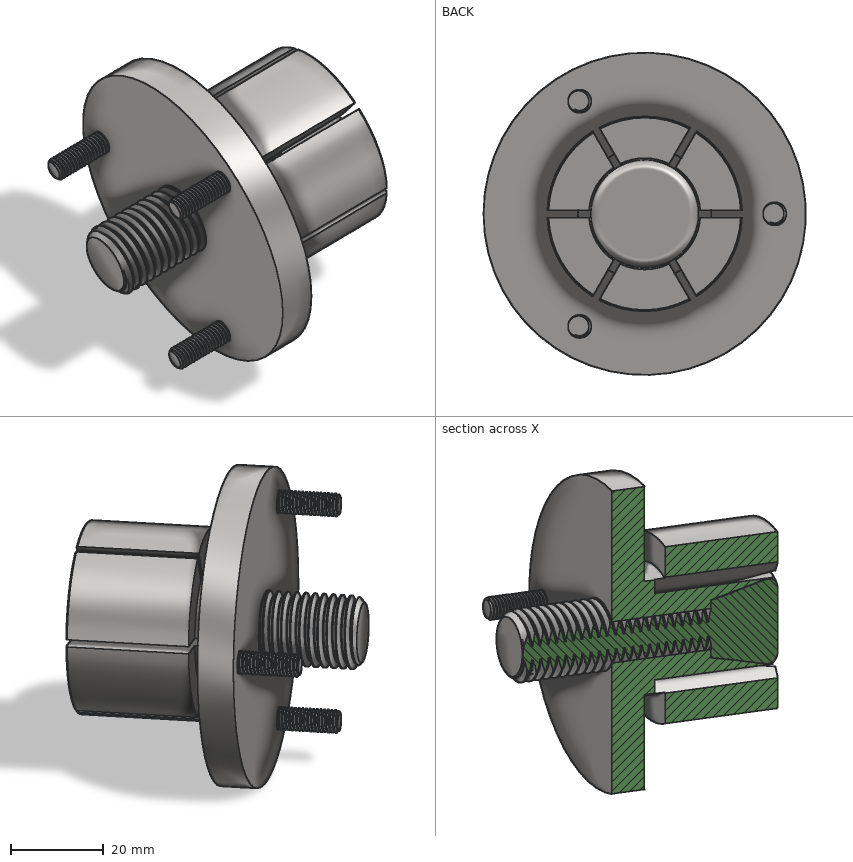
import cadquery as cq
import math


flange_diameter = 69.47
flange_thickness = 7.9
collar_diameter = 28.75
collar_length = 4.8
jaw_diameter = 42.0
jaw_length = 27.0
jaw_end_chamfer = 0.3
slot_count = 6
slot_width = 1.6
slot_depth_in_collar = 2.4

collar_end = flange_thickness + collar_length
jaw_end = collar_end + jaw_length
slot_start = collar_end - slot_depth_in_collar

centre_diameter = 16.0
centre_pitch = 2.0
centre_thread_length = 45.0
centre_tip_chamfer = 1.5
centre_thread_start = 54.0
head_diameter = 24.0
head_taper = 10.0
head_height = 16.0
head_fillet = 2.0
head_seat = jaw_end - head_height

mount_diameter = 5.0
mount_pitch = 0.8
mount_projection = 13.3
mount_tip_chamfer = 0.5
mount_thread_start = 0.0
mount_count = 3
mount_circle_radius = 28.0
mount_first_angle = 60.0

thread_depth_ratio = 0.6134
crest_width_ratio = 1 / 8
ridge_base_ratio = 7 / 8
ridge_embed_ratio = 0.05


def cylinder(diameter, y_start, y_end):
    """Solid cylinder on the Y axis."""
    return (
        cq.Workplane("XZ", origin=(0, y_end, 0))
        .circle(diameter / 2)
        .extrude(y_end - y_start)
    )


def taper_plug():
    """Cone that fills the bore of the jaws, widest at their ends."""
    return (
        cq.Workplane("XZ", origin=(0, jaw_end, 0))
        .circle(head_diameter / 2)
        .extrude(head_height, taper=head_taper)
    )


def threaded_rod(diameter, pitch, length, tip_chamfer, start_angle):
    """Right-hand threaded rod from Y = 0 to Y = -length, chamfered at its tip."""
    crest_radius = diameter / 2
    depth = thread_depth_ratio * pitch
    core_radius = crest_radius - depth

    embed = ridge_embed_ratio * pitch
    flank_slope = (ridge_base_ratio - crest_width_ratio) * pitch / 2 / depth
    half_crest = crest_width_ratio * pitch / 2
    half_base = ridge_base_ratio * pitch / 2 + embed * flank_slope
    base_radius = core_radius - embed

    ridge_overrun = pitch
    core_overrun = 2 * pitch
    helix = cq.Workplane(cq.Wire.makeHelix(pitch, length + 2 * ridge_overrun, base_radius))
    ridge = (
        cq.Workplane("XZ")
        .moveTo(base_radius, -half_base)
        .lineTo(crest_radius, -half_crest)
        .lineTo(crest_radius, half_crest)
        .lineTo(base_radius, half_base)
        .close()
        .sweep(helix, isFrenet=True)
        .translate((0, 0, -ridge_overrun))
        .rotate((0, 0, 0), (0, 0, 1), start_angle)
    )
    core = (
        cq.Workplane("XY", origin=(0, 0, -core_overrun))
        .circle(core_radius)
        .extrude(length + 2 * core_overrun)
    )

    clearance = pitch
    trim = (
        cq.Workplane("XZ")
        .lineTo(crest_radius + clearance, 0)
        .lineTo(crest_radius + clearance, length - tip_chamfer - clearance)
        .lineTo(crest_radius - tip_chamfer, length)
        .lineTo(0, length)
        .close()
        .revolve(360, (0, 0, 0), (0, 1, 0))
    )
    return core.union(ridge).intersect(trim).rotate((0, 0, 0), (1, 0, 0), 90)


def mounting_points():
    """Screw centres (x, z) evenly spaced around the flange."""
    angles = [mount_first_angle + i * 360 / mount_count for i in range(mount_count)]
    return [
        (
            mount_circle_radius * math.cos(math.radians(angle)),
            mount_circle_radius * math.sin(math.radians(angle)),
        )
        for angle in angles
    ]


def make_housing():
    jaws = cylinder(jaw_diameter, collar_end, jaw_end).faces(">Y").edges().chamfer(jaw_end_chamfer)
    body = (
        cylinder(flange_diameter, 0, flange_thickness)
        .union(cylinder(collar_diameter, flange_thickness, collar_end))
        .union(jaws)
        .cut(cylinder(centre_diameter, 0, jaw_end))
        .cut(taper_plug())
    )
    slot_length = jaw_end - slot_start
    slot = cq.Workplane("XY").box(jaw_diameter, slot_length, slot_width, centered=(False, False, True))
    slot = slot.translate((0, slot_start, 0))
    for i in range(slot_count):
        body = body.cut(slot.rotate((0, 0, 0), (0, 1, 0), i * 360 / slot_count))
    for x, z in mounting_points():
        hole = cylinder(mount_diameter, 0, flange_thickness).translate((x, 0, z))
        body = body.cut(hole)
    return body


def make_centre_screw():
    head = taper_plug().faces(">Y").edges().fillet(head_fillet)
    rod = threaded_rod(
        centre_diameter, centre_pitch, centre_thread_length, centre_tip_chamfer, centre_thread_start
    )
    return head.union(rod.translate((0, head_seat, 0)))


def make_mounting_screws():
    length = flange_thickness + mount_projection
    screw = threaded_rod(mount_diameter, mount_pitch, length, mount_tip_chamfer, mount_thread_start)
    return [screw.translate((x, flange_thickness, z)) for x, z in mounting_points()]


housing = make_housing()
centre_screw = make_centre_screw()
mounting_screws = make_mounting_screws()

result = cq.Compound.makeCompound(
    [housing.val(), centre_screw.val()] + [screw.val() for screw in mounting_screws]
)